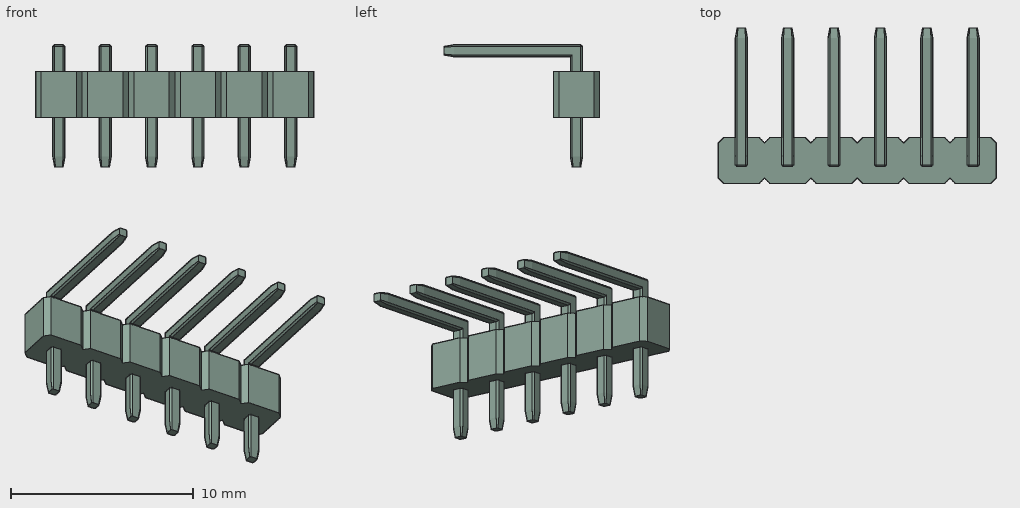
import cadquery as cq

PIN_COUNT = 6
HOUSING_LENGTH = 15.24
PITCH = HOUSING_LENGTH / PIN_COUNT
HOUSING_DEPTH = PITCH
HOUSING_HEIGHT = PITCH
CELL_CHAMFER = 0.3

PIN_WIDTH = 0.67
PIN_CHAMFER = 0.1
TIP_LENGTH = 0.56
TIP_WIDTH = 0.47
TIP_CHAMFER = PIN_CHAMFER / 2
OVERALL_DEPTH = 8.53
OVERALL_HEIGHT = 6.7
RISE_ABOVE_HOUSING = 1.46

PIN_TOP = HOUSING_HEIGHT / 2 + RISE_ABOVE_HOUSING
PIN_BOTTOM = PIN_TOP - OVERALL_HEIGHT
ARM_END = OVERALL_DEPTH - HOUSING_DEPTH / 2
ARM_AXIS_Z = PIN_TOP - PIN_WIDTH / 2
PIN_POSITIONS = [(i - (PIN_COUNT - 1) / 2) * PITCH for i in range(PIN_COUNT)]


def chamfered_square(width, chamfer):
    return cq.Sketch().rect(width, width).vertices().chamfer(chamfer)


def make_tip(base_plane):
    """Taper that grows along the plane's normal from the full pin section to the tip."""
    return (
        cq.Workplane(base_plane)
        .placeSketch(
            chamfered_square(PIN_WIDTH, PIN_CHAMFER),
            chamfered_square(TIP_WIDTH, TIP_CHAMFER).moved(cq.Location(cq.Vector(0, 0, TIP_LENGTH))),
        )
        .loft(ruled=True)
    )


def make_pin(x):
    """Right-angle pin: a vertical post whose upper end turns toward +Y."""
    half = PIN_WIDTH / 2
    post_end = PIN_BOTTOM + TIP_LENGTH
    arm_end = ARM_END - TIP_LENGTH
    bar = (
        cq.Workplane("YZ")
        .polyline([
            (-half, post_end),
            (half, post_end),
            (half, PIN_TOP - PIN_WIDTH),
            (arm_end, PIN_TOP - PIN_WIDTH),
            (arm_end, PIN_TOP),
            (-half, PIN_TOP),
        ])
        .close()
        .extrude(half, both=True)
    )
    bar = bar.edges("((not |X) or (>Z and <Y)) and (not (<Z or >Y))").chamfer(PIN_CHAMFER)

    post_tip = make_tip(cq.Plane((0, 0, post_end), xDir=(1, 0, 0), normal=(0, 0, -1)))
    arm_tip = make_tip(cq.Plane((0, arm_end, ARM_AXIS_Z), xDir=(1, 0, 0), normal=(0, 1, 0)))
    return bar.union(post_tip).union(arm_tip).translate((x, 0, 0))


def make_housing():
    """Row of corner-chamfered cells, with a through hole for each pin."""
    cell = cq.Workplane("XY").box(PITCH, HOUSING_DEPTH, HOUSING_HEIGHT).edges("|Z").chamfer(CELL_CHAMFER)
    pin_hole = (
        cq.Workplane("XY", origin=(0, 0, -HOUSING_HEIGHT / 2))
        .placeSketch(chamfered_square(PIN_WIDTH, PIN_CHAMFER))
        .extrude(HOUSING_HEIGHT)
    )
    drilled_cell = cell.cut(pin_hole)
    housing = cq.Workplane("XY")
    for x in PIN_POSITIONS:
        housing = housing.union(drilled_cell.translate((x, 0, 0)))
    return housing.clean()


housing = make_housing()
pins = [make_pin(x) for x in PIN_POSITIONS]

result = cq.Compound.makeCompound([housing.solids().val(), *[pin.solids().val() for pin in pins]])